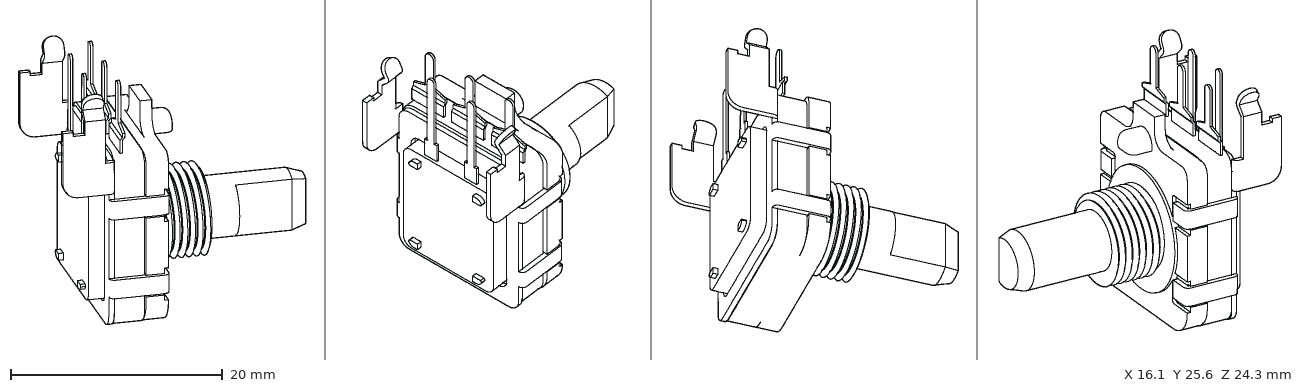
import cadquery as cq
import math


OVERLAP = 0.13

CAP_BACK = -2.2
CASE_BACK = -5.18
SHEET = 0.55
PLATE_BACK = CASE_BACK - SHEET
SWITCH_BACK = PLATE_BACK - 1.5
STUD_BACK = SWITCH_BACK - 0.5
FLANGE_FRONT = 0.3
BUSH_FRONT = FLANGE_FRONT + 5.0
SHAFT_TIP = BUSH_FRONT + 10.0

SHAFT_RADIUS = 3.0
SHAFT_FLAT_X = 1.51
FLAT_START = 8.3
TIP_LENGTH = 1.5
TIP_INSET = 0.5

FLANGE_RADIUS = 6.23
THREAD_RADIUS = 4.51
THREAD_ROOT_RADIUS = 3.9
THREAD_PITCH = 0.75
THREAD_START = -0.18
RIDGE_BASE = 0.72

CAP_HALF_WIDTH = 8.0
CAP_TOP = 9.29
BOTTOM = -8.3
CAP_TOP_RADIUS = 1.03
CAP_BOTTOM_RADIUS = 2.56

TAB_TOP = 12.4
TAB_HALF_WIDTH = 1.98
TAB_ROOT_RADIUS = 1.55
TAB_THICKNESS = 1.18
PEG_RADIUS = 1.51
PEG_LENGTH = 2.3
PEG_ROUNDING = 0.77
PEG_Z = 9.03
PEG_UNDERSIDE_Z = 8.65

CASE_HALF_WIDTH = 7.52
CASE_TOP = 9.4
CASE_TOP_RADIUS = 1.5
CASE_BOTTOM_RADIUS = 1.8

SWITCH_HALF_SIDE_X = 5.67
SWITCH_HALF_SIDE_Z = 6.15
SWITCH_RADIUS = 1.03
STUD_INNER_X = 3.45
STUD_OUTER_X = 4.6
STUD_LOW_Z = 4.67
STUD_HIGH_Z = 5.35
STUD_CORNER_X = 4.46
STUD_CORNER_Z = 4.87
STUD_ARC_MIDDLE = (4.35, 5.18)
STUD_ARC_END_X = 3.9

TERMINAL_TOP = 15.98
TERMINAL_SHEET = 0.25
TERMINAL_PITCH = 5.0
CASE_TERMINAL_Y = -4.35
TERMINAL_JOG = 0.23
JOG_LOW_Z = 10.7
JOG_HIGH_Z = 10.98
FOOT_WIDTH = 4.0
FOOT_SHOULDER_Z = 11.4
PIN_SHOULDER_Z = 11.85
PIN_WIDTH = 1.03
SWITCH_TERMINAL_Y = -6.77
SWITCH_FOOT_WIDTH = 1.55
SWITCH_FOOT_TOP = 8.13
SWITCH_PIN_WIDTH = 0.87

BRACKET_HALF_WIDTH = CASE_HALF_WIDTH + SHEET
PLATE_TOP = 8.98
PLATE_BOTTOM = -8.18
PLATE_RADIUS = 1.28
OPENING_HALF_X = 6.0
OPENING_HALF_Z = 6.25
ARM_NEAR_Z = 3.08
ARM_FAR_Z = 4.98
HOOK_TIP_X = 5.65
HOOK_FRONT = 0.15
HOOK_BACK = HOOK_FRONT - SHEET
LEG_BOTTOM = 5.75
LEG_TOP = 12.45
LEG_BACK = -10.34
LEG_RADIUS = 1.51
LEG_NOTCH_FLOOR = 12.05
LEG_NOTCH_BACK = -9.34
TONGUE_FRONT = -6.18
TONGUE_WIDTH = 2.0
TONGUE_TIP_RADIUS = 0.97
TONGUE_BEND_Z = 13.41
TONGUE_KNEE = (7.2, 14.29)
TONGUE_TIP = (7.95, 15.65)

NOTCH_CLEARANCE = 0.15
POCKET_NEAR_Z = 2.39
POCKET_FAR_Z = 5.65
POCKET_END_X = 5.25
POCKET_RADIUS = 0.35


def box(x_range, y_range, z_range):
    """Box between two limits on each axis."""
    lows = [min(limits) for limits in (x_range, y_range, z_range)]
    sizes = [abs(limits[1] - limits[0]) for limits in (x_range, y_range, z_range)]
    return cq.Workplane("XY").box(*sizes, centered=False).translate(tuple(lows))


def profile(y_front):
    """Sketch plane facing -Y: local axes are X and Z, and extrusion runs toward -Y."""
    return cq.Workplane("XZ", origin=(0, y_front, 0))


def both_sides(shape):
    """The shape together with its mirror image across X = 0."""
    return shape.union(shape.mirror("YZ"))


def rounded_slab(half_width, bottom, top, y_front, y_back, bottom_radius, top_radius):
    slab = box((-half_width, half_width), (y_back, y_front), (bottom, top))
    slab = slab.edges("|Y").edges("<Z").fillet(bottom_radius)
    return slab.edges("|Y").edges(">Z").fillet(top_radius)


def cap():
    body = rounded_slab(CAP_HALF_WIDTH, BOTTOM, CAP_TOP, 0, CAP_BACK, CAP_BOTTOM_RADIUS, CAP_TOP_RADIUS)
    notch_z = (ARM_NEAR_Z - NOTCH_CLEARANCE, ARM_FAR_Z + NOTCH_CLEARANCE)
    notch = box((-BRACKET_HALF_WIDTH, -CASE_HALF_WIDTH), (CAP_BACK, 0), notch_z)
    pocket = box((-BRACKET_HALF_WIDTH, -POCKET_END_X), (HOOK_BACK, 0), (POCKET_NEAR_Z, POCKET_FAR_Z))
    pocket = pocket.edges("|Y and >X and >Z").fillet(POCKET_RADIUS)
    openings = both_sides(notch.union(pocket))
    return body.cut(openings).cut(openings.mirror("XY"))


def locating_tab():
    root = TAB_HALF_WIDTH + TAB_ROOT_RADIUS
    arc_z = CAP_TOP + TAB_ROOT_RADIUS
    arc_mid = TAB_ROOT_RADIUS * math.sqrt(0.5)
    tab = (
        profile(0)
        .moveTo(-root, CAP_TOP - OVERLAP)
        .lineTo(-root, CAP_TOP)
        .threePointArc((-root + arc_mid, arc_z - arc_mid), (-TAB_HALF_WIDTH, arc_z))
        .lineTo(-TAB_HALF_WIDTH, TAB_TOP)
        .lineTo(TAB_HALF_WIDTH, TAB_TOP)
        .lineTo(TAB_HALF_WIDTH, arc_z)
        .threePointArc((root - arc_mid, arc_z - arc_mid), (root, CAP_TOP))
        .lineTo(root, CAP_TOP - OVERLAP)
        .close()
        .extrude(TAB_THICKNESS)
    )
    peg = profile(PEG_LENGTH).center(0, PEG_Z).circle(PEG_RADIUS).extrude(PEG_LENGTH + OVERLAP)
    peg = peg.faces(">Y").edges().fillet(PEG_ROUNDING)
    below_peg = box((-PEG_RADIUS, PEG_RADIUS), (0, PEG_LENGTH), (PEG_Z - PEG_RADIUS, PEG_UNDERSIDE_Z))
    return tab.union(peg.cut(below_peg))


def bush():
    flange = profile(FLANGE_FRONT).circle(FLANGE_RADIUS).extrude(FLANGE_FRONT - HOOK_BACK + OVERLAP)
    core_front = BUSH_FRONT + 2 * THREAD_PITCH
    core_back = THREAD_START - THREAD_PITCH
    core = profile(core_front).circle(THREAD_ROOT_RADIUS).extrude(core_front - core_back)
    base_radius = THREAD_ROOT_RADIUS - OVERLAP / 2
    length = BUSH_FRONT - THREAD_START + THREAD_PITCH
    helix = cq.Workplane(cq.Wire.makeHelix(THREAD_PITCH, length, base_radius))
    ridge = (
        cq.Workplane("XZ")
        .polyline([(base_radius, -RIDGE_BASE / 2), (THREAD_RADIUS, 0), (base_radius, RIDGE_BASE / 2)])
        .close()
        .sweep(helix, isFrenet=True)
        .rotate((0, 0, 0), (1, 0, 0), -90)
        .translate((0, THREAD_START, 0))
    )
    envelope = profile(BUSH_FRONT).circle(THREAD_RADIUS + OVERLAP).extrude(BUSH_FRONT + OVERLAP)
    return core.union(ridge).intersect(envelope).union(flange)


def shaft():
    flat_height = math.sqrt(SHAFT_RADIUS**2 - SHAFT_FLAT_X**2)
    taper_start = SHAFT_TIP - TIP_LENGTH
    round_part = profile(FLAT_START).circle(SHAFT_RADIUS).extrude(FLAT_START - BUSH_FRONT + OVERLAP)

    def d_section():
        return (
            profile(taper_start)
            .moveTo(SHAFT_FLAT_X, -flat_height)
            .lineTo(SHAFT_FLAT_X, flat_height)
            .threePointArc((-SHAFT_RADIUS, 0), (SHAFT_FLAT_X, -flat_height))
            .close()
        )

    d_part = d_section().extrude(taper_start - FLAT_START + OVERLAP)
    tip = d_section().extrude(-TIP_LENGTH, taper=math.degrees(math.atan2(TIP_INSET, TIP_LENGTH)))
    return round_part.union(d_part).union(tip)


def case():
    return rounded_slab(
        CASE_HALF_WIDTH, BOTTOM, CASE_TOP, CAP_BACK, CASE_BACK, CASE_BOTTOM_RADIUS, CASE_TOP_RADIUS
    )


def switch_block():
    block = rounded_slab(
        SWITCH_HALF_SIDE_X, -SWITCH_HALF_SIDE_Z, SWITCH_HALF_SIDE_Z,
        CASE_BACK + OVERLAP, SWITCH_BACK, SWITCH_RADIUS, SWITCH_RADIUS,
    )
    stud = (
        profile(SWITCH_BACK + OVERLAP)
        .moveTo(STUD_INNER_X, STUD_LOW_Z)
        .lineTo(STUD_CORNER_X, STUD_LOW_Z)
        .lineTo(STUD_OUTER_X, STUD_CORNER_Z)
        .threePointArc(STUD_ARC_MIDDLE, (STUD_ARC_END_X, STUD_HIGH_Z))
        .lineTo(STUD_INNER_X, STUD_HIGH_Z)
        .close()
        .extrude(SWITCH_BACK + OVERLAP - STUD_BACK)
    )
    upper_studs = both_sides(stud)
    return block.union(upper_studs).union(upper_studs.mirror("XY"))


def round_ended_pin(x, y_front, width, bottom):
    """Flat pin of terminal sheet with a half-round end at the terminal height."""
    half = width / 2
    return (
        profile(y_front)
        .moveTo(x - half, bottom)
        .lineTo(x - half, TERMINAL_TOP - half)
        .threePointArc((x, TERMINAL_TOP), (x + half, TERMINAL_TOP - half))
        .lineTo(x + half, bottom)
        .close()
        .extrude(TERMINAL_SHEET)
    )


def case_terminal(x):
    """Pin on a wide foot that jogs forward between the case and the shoulders."""
    foot_front = CASE_TERMINAL_Y + TERMINAL_SHEET / 2
    pin_front = foot_front + TERMINAL_JOG
    half = FOOT_WIDTH / 2
    foot = (
        cq.Workplane("YZ", origin=(x - half, 0, 0))
        .polyline([
            (foot_front, CASE_TOP),
            (foot_front, JOG_LOW_Z),
            (pin_front, JOG_HIGH_Z),
            (pin_front, FOOT_SHOULDER_Z),
            (pin_front - TERMINAL_SHEET, FOOT_SHOULDER_Z),
            (pin_front - TERMINAL_SHEET, JOG_HIGH_Z),
            (foot_front - TERMINAL_SHEET, JOG_LOW_Z),
            (foot_front - TERMINAL_SHEET, CASE_TOP),
        ])
        .close()
        .extrude(FOOT_WIDTH)
    )
    shoulders = (
        profile(pin_front)
        .polyline([
            (x - half, FOOT_SHOULDER_Z),
            (x - PIN_WIDTH / 2, PIN_SHOULDER_Z),
            (x + PIN_WIDTH / 2, PIN_SHOULDER_Z),
            (x + half, FOOT_SHOULDER_Z),
        ])
        .close()
        .extrude(TERMINAL_SHEET)
    )
    return foot.union(shoulders).union(round_ended_pin(x, pin_front, PIN_WIDTH, FOOT_SHOULDER_Z))


def switch_terminal(x):
    front = SWITCH_TERMINAL_Y + TERMINAL_SHEET / 2
    half = SWITCH_FOOT_WIDTH / 2
    foot = box(
        (x - half, x + half),
        (front - TERMINAL_SHEET, front),
        (SWITCH_HALF_SIDE_Z - OVERLAP, SWITCH_FOOT_TOP),
    )
    return foot.union(round_ended_pin(x, front, SWITCH_PIN_WIDTH, SWITCH_HALF_SIDE_Z))


def make_encoder():
    """Cap, case, bush, shaft, switch and terminals as one solid."""
    encoder = cap().union(case()).union(locating_tab()).union(switch_block())
    for step in (-1, 0, 1):
        encoder = encoder.union(case_terminal(step * TERMINAL_PITCH))
    for step in (-0.5, 0.5):
        encoder = encoder.union(switch_terminal(step * TERMINAL_PITCH))
    return encoder.union(bush()).union(shaft())


def bracket_plate():
    plate = rounded_slab(
        CASE_HALF_WIDTH, PLATE_BOTTOM, PLATE_TOP, CASE_BACK, PLATE_BACK, PLATE_RADIUS, PLATE_RADIUS
    )
    opening = rounded_slab(
        OPENING_HALF_X, -OPENING_HALF_Z, OPENING_HALF_Z, CASE_BACK, PLATE_BACK, SWITCH_RADIUS, SWITCH_RADIUS
    )
    return plate.cut(opening)


def bracket_arm():
    """Upper -X arm: a strip folded forward along the case with a hook over the cap pocket."""
    z_range = (ARM_NEAR_Z, ARM_FAR_Z)
    outer = box((-BRACKET_HALF_WIDTH, -HOOK_TIP_X), (PLATE_BACK, HOOK_FRONT), z_range)
    outer = outer.edges("|Z and <X").fillet(SHEET)
    inner = box((-CASE_HALF_WIDTH, -HOOK_TIP_X), (CASE_BACK, HOOK_BACK), z_range)
    beyond_plate = box((-OPENING_HALF_X - OVERLAP, -HOOK_TIP_X), (PLATE_BACK, CASE_BACK), z_range)
    return outer.cut(inner).cut(beyond_plate)


def leg_blade():
    """Flat -X blade folded rearward from the plate, notched on top beside the tongue."""
    tongue_back = TONGUE_FRONT - TONGUE_WIDTH
    arc_inset = LEG_RADIUS * (1 - math.sqrt(0.5))
    blade = (
        cq.Workplane("YZ", origin=(-BRACKET_HALF_WIDTH, 0, 0))
        .moveTo(CASE_BACK, LEG_BOTTOM)
        .lineTo(CASE_BACK, PLATE_TOP)
        .lineTo(TONGUE_FRONT, PLATE_TOP)
        .lineTo(TONGUE_FRONT, LEG_TOP)
        .lineTo(tongue_back, LEG_TOP)
        .lineTo(tongue_back, LEG_NOTCH_FLOOR)
        .lineTo(LEG_NOTCH_BACK, LEG_NOTCH_FLOOR)
        .lineTo(LEG_NOTCH_BACK, LEG_TOP)
        .lineTo(LEG_BACK, LEG_TOP)
        .lineTo(LEG_BACK, LEG_BOTTOM + LEG_RADIUS)
        .threePointArc(
            (LEG_BACK + arc_inset, LEG_BOTTOM + arc_inset), (LEG_BACK + LEG_RADIUS, LEG_BOTTOM)
        )
        .close()
        .extrude(2 * SHEET)
        .edges("|Z and <X and >Y")
        .fillet(SHEET)
    )
    inner_half = box((-CASE_HALF_WIDTH, 0), (LEG_BACK, CASE_BACK), (LEG_BOTTOM, LEG_TOP))
    return blade.cut(inner_half)


def leg_tongue():
    """-X snap tongue: bent inward to a knee, then outward to a rounded tip."""
    knee_x, knee_z = TONGUE_KNEE
    tip_x, tip_z = TONGUE_TIP
    lower_angle = math.atan2(BRACKET_HALF_WIDTH - knee_x, knee_z - TONGUE_BEND_Z)
    upper_angle = math.atan2(tip_x - knee_x, tip_z - knee_z)
    bend_inner_z = TONGUE_BEND_Z - SHEET * math.tan(lower_angle / 2)
    knee_miter = SHEET / math.cos((lower_angle + upper_angle) / 2)
    knee_tilt = (lower_angle - upper_angle) / 2
    knee_inner = (-knee_x + knee_miter * math.cos(knee_tilt), knee_z - knee_miter * math.sin(knee_tilt))
    tip_inner = (-tip_x + SHEET * math.cos(upper_angle), tip_z + SHEET * math.sin(upper_angle))
    strip = (
        profile(TONGUE_FRONT)
        .polyline([
            (-BRACKET_HALF_WIDTH, LEG_TOP - OVERLAP),
            (-BRACKET_HALF_WIDTH, TONGUE_BEND_Z),
            (-knee_x, knee_z),
            (-tip_x, tip_z),
            tip_inner,
            knee_inner,
            (-CASE_HALF_WIDTH, bend_inner_z),
            (-CASE_HALF_WIDTH, LEG_TOP - OVERLAP),
        ])
        .close()
        .extrude(TONGUE_WIDTH)
    )
    tip_thickness = cq.Vector(math.cos(upper_angle), 0, math.sin(upper_angle))
    strip = strip.edges(cq.selectors.ParallelDirSelector(tip_thickness)).fillet(TONGUE_TIP_RADIUS)
    knee_point = (knee_inner[0], TONGUE_FRONT - TONGUE_WIDTH / 2, knee_inner[1])
    return strip.edges(cq.selectors.NearestToPointSelector(knee_point)).fillet(SHEET)


def make_bracket():
    """Rear plate with four hooked arms and two snap-in legs as one solid."""
    arms = both_sides(bracket_arm())
    legs = both_sides(leg_blade().union(leg_tongue()))
    return bracket_plate().union(arms).union(arms.mirror("XY")).union(legs)


encoder = make_encoder()
bracket = make_bracket()
result = cq.Compound.makeCompound([encoder.val(), bracket.val()])